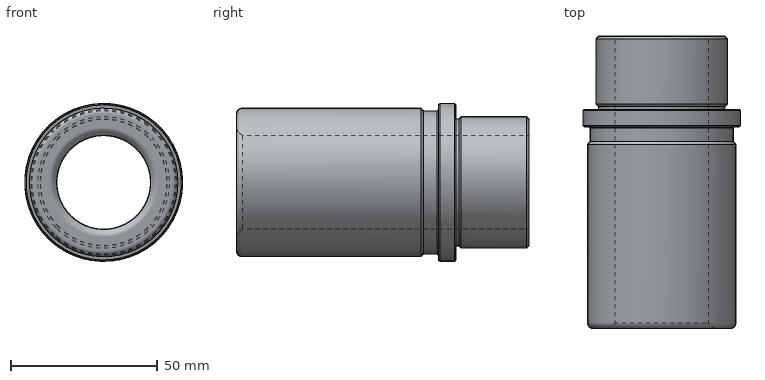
import cadquery as cq
import math

length = 100.0
mouth_y = -length / 2
end_y = length / 2

sleeve_radius = 25.4
sleeve_length = 64.0
sleeve_mouth_fillet = 2.0
sleeve_chamfer = 1.0

groove_radius = 24.5
groove_corner_chamfer = 0.4

collar_radius = 27.0
collar_width = 6.0
collar_chamfer = 0.5

spigot_radius = 22.5
spigot_length = 25.0
spigot_chamfer = 0.9
undercut_radius = 21.7
undercut_width = 1.0

bore_radius = 16.0
mouth_taper_radius = 17.3
mouth_taper_length = 1.4
mouth_round = 2.0

collar_back_y = end_y - spigot_length
collar_front_y = collar_back_y - collar_width
sleeve_end_y = mouth_y + sleeve_length
undercut_end_y = collar_back_y + undercut_width
undercut_step = spigot_radius - undercut_radius
diagonal = math.sqrt(0.5)


def revolve_about_y(profile):
    return profile.close().revolve(360, (0, 0), (0, 1))


def outer_body():
    fillet_center_r = sleeve_radius - sleeve_mouth_fillet
    fillet_center_y = mouth_y + sleeve_mouth_fillet
    fillet_offset = sleeve_mouth_fillet * diagonal
    return revolve_about_y(
        cq.Workplane("XY")
        .moveTo(0, mouth_y)
        .lineTo(fillet_center_r, mouth_y)
        .threePointArc(
            (fillet_center_r + fillet_offset, fillet_center_y - fillet_offset),
            (sleeve_radius, fillet_center_y),
        )
        .lineTo(sleeve_radius, sleeve_end_y - sleeve_chamfer)
        .lineTo(groove_radius, sleeve_end_y)
        .lineTo(groove_radius, collar_front_y - groove_corner_chamfer)
        .lineTo(groove_radius + groove_corner_chamfer, collar_front_y)
        .lineTo(collar_radius - collar_chamfer, collar_front_y)
        .lineTo(collar_radius, collar_front_y + collar_chamfer)
        .lineTo(collar_radius, collar_back_y - collar_chamfer)
        .lineTo(collar_radius - collar_chamfer, collar_back_y)
        .lineTo(undercut_radius, collar_back_y)
        .lineTo(undercut_radius, undercut_end_y)
        .lineTo(spigot_radius, undercut_end_y + undercut_step)
        .lineTo(spigot_radius, end_y - spigot_chamfer)
        .lineTo(spigot_radius - spigot_chamfer, end_y)
        .lineTo(0, end_y)
    )


def bore_cutter():
    round_start_r = mouth_taper_radius + mouth_round * math.sin(math.pi / 4)
    round_center_y = mouth_y + mouth_round
    round_end_y = round_center_y - mouth_round * math.cos(math.pi / 4)
    round_middle = (
        round_start_r - mouth_round * math.sin(math.pi / 8),
        round_center_y - mouth_round * math.cos(math.pi / 8),
    )
    return revolve_about_y(
        cq.Workplane("XY")
        .moveTo(0, mouth_y)
        .lineTo(round_start_r, mouth_y)
        .threePointArc(round_middle, (mouth_taper_radius, round_end_y))
        .lineTo(bore_radius, round_end_y + mouth_taper_length)
        .lineTo(bore_radius, end_y)
        .lineTo(0, end_y)
    )


result = outer_body().cut(bore_cutter())